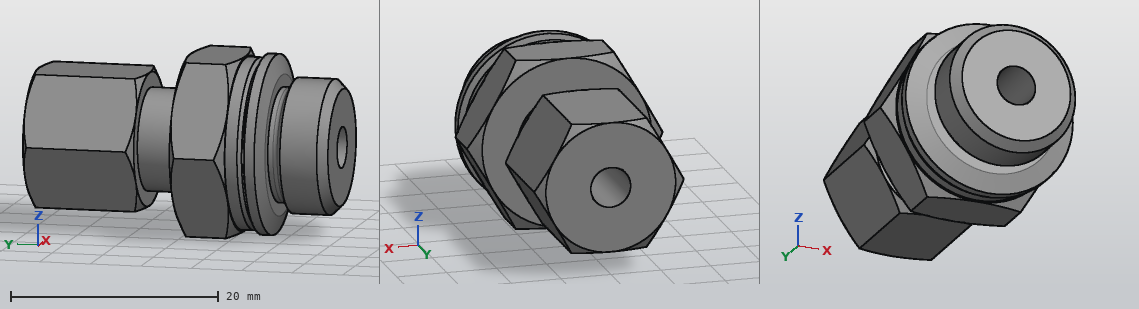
import cadquery as cq
import math

length = 30.03
bore_diameter = 4.0
hex_chamfer_slope = math.tan(math.radians(30))

thread_radius = 6.58
thread_chamfer = 0.9
thread_end = 4.53
undercut_radius = 5.6
undercut_lip_radius = 5.77
undercut_lip = 5.05
undercut_arc_end = 5.5

washer_diameter = 17.5
washer_radius = washer_diameter / 2
washer_front = 5.98
washer_face_radius = 6.85
washer_rim_front = 6.55
washer_rim_back = 7.55
washer_back = 8.0
washer_back_radius = 7.35

collar_radius = 8.35
collar_chamfer = 0.35
body_hex_start = 9.55
body_hex_end = 15.0
body_hex_flats = 17.0
neck_radius = 5.0
nut_length = 11.0
nut_start = length - nut_length
nut_flats = 13.0


def revolve_about_axis(outline):
    """Revolve a closed (radius, distance along Y) outline around the Y axis."""
    return outline.revolve(360, (0, 0, 0), (0, 1, 0))


def chamfered_hexagon(start, end, flats):
    """Hexagon with corners on X, both ends turned to a cone that touches the flats."""
    corner_diameter = flats / math.cos(math.radians(30))
    corner_radius = corner_diameter / 2
    face_radius = flats / 2
    drop = (corner_radius - face_radius) * hex_chamfer_slope
    prism = (
        cq.Workplane("XZ", origin=(0, start, 0))
        .polygon(6, corner_diameter)
        .extrude(start - end)
    )
    blank_outline = (
        cq.Workplane("XY")
        .moveTo(0, start)
        .lineTo(face_radius, start)
        .lineTo(corner_radius, start + drop)
        .lineTo(corner_radius, end - drop)
        .lineTo(face_radius, end)
        .lineTo(0, end)
        .close()
    )
    turned_blank = revolve_about_axis(blank_outline)
    return prism.intersect(turned_blank)


def turned_body():
    """Thread, undercut, washer, collar and neck as one turned solid."""
    outline = (
        cq.Workplane("XY")
        .moveTo(0, nut_start)
        .lineTo(neck_radius, nut_start)
        .lineTo(neck_radius, body_hex_start)
        .lineTo(collar_radius, body_hex_start)
        .lineTo(collar_radius, washer_back + collar_chamfer)
        .lineTo(collar_radius - collar_chamfer, washer_back)
        .lineTo(washer_back_radius, washer_back)
        .lineTo(washer_radius, washer_rim_back)
        .lineTo(washer_radius, washer_rim_front)
        .lineTo(washer_face_radius, washer_front)
        .lineTo(undercut_radius, washer_front)
        .lineTo(undercut_radius, undercut_arc_end)
        .tangentArcPoint((undercut_lip_radius, undercut_lip), relative=False)
        .lineTo(thread_radius, thread_end)
        .lineTo(thread_radius, thread_chamfer)
        .lineTo(thread_radius - thread_chamfer, 0)
        .lineTo(0, 0)
        .close()
    )
    return revolve_about_axis(outline)


body_hexagon = chamfered_hexagon(body_hex_start, body_hex_end, body_hex_flats)
union_nut = chamfered_hexagon(nut_start, length, nut_flats)
bore = cq.Workplane("XZ").circle(bore_diameter / 2).extrude(-length)

result = turned_body().union(body_hexagon).union(union_nut).cut(bore)